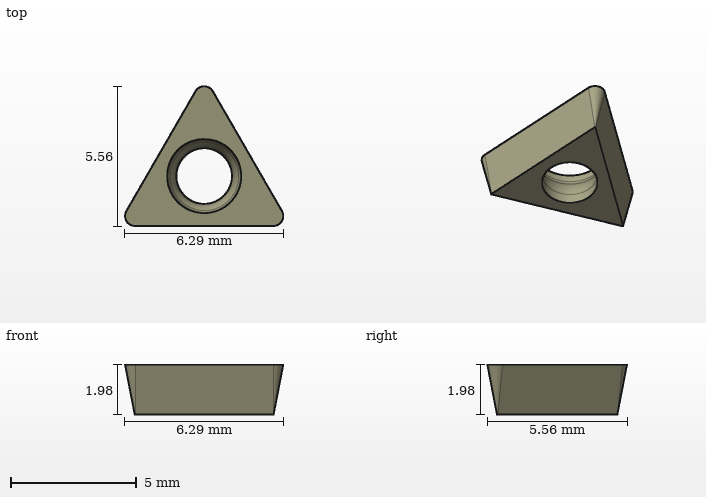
import cadquery as cq
import math

inscribed_diameter = 3.97
thickness = 1.98
corner_radius = 0.4
clearance_angle = 11.0
tip_angles = (90, 210, 330)
corner_half_arc = 60

hole_diameter = 2.2
seat_depth = 1.49
seat_radius = 1.62
seat_angle = 33.0
blend_radius = 0.5
wall_angle = 5.0


def rounded_triangle(inset, height):
    """Rounded triangle at a height, its sides moved inward by inset, one tip toward +Y."""
    radius = corner_radius - inset
    center_distance = 2 * (inscribed_diameter / 2 - corner_radius)

    def corner_point(tip_angle, arc_angle):
        tip = math.radians(tip_angle)
        on_arc = math.radians(tip_angle + arc_angle)
        return (
            center_distance * math.cos(tip) + radius * math.cos(on_arc),
            center_distance * math.sin(tip) + radius * math.sin(on_arc),
        )

    last_corner_end = corner_point(tip_angles[-1], corner_half_arc)
    outline = cq.Workplane("XY", origin=(0, 0, height)).moveTo(*last_corner_end)
    for tip_angle in tip_angles:
        corner_start = corner_point(tip_angle, -corner_half_arc)
        corner_middle = corner_point(tip_angle, 0)
        corner_end = corner_point(tip_angle, corner_half_arc)
        outline = outline.lineTo(*corner_start).threePointArc(corner_middle, corner_end)
    return outline.wire().val()


def insert_body():
    """Solid that narrows downward by the clearance angle on all sides and corners."""
    inset = thickness * math.tan(math.radians(clearance_angle))
    bottom = rounded_triangle(inset, 0)
    top = rounded_triangle(0, thickness)
    return cq.Workplane(cq.Solid.makeLoft([bottom, top], True))


def screw_hole():
    """Bore opening through a convex seat and a concave blend into a drafted wall, all tangent."""
    bore_radius = hole_diameter / 2
    seat_end = thickness - seat_depth
    steep = math.radians(wall_angle)
    shallow = math.radians(seat_angle)

    def seat_point(slope):
        return (
            bore_radius + seat_radius * (1 - math.cos(slope)),
            seat_end + seat_radius * math.sin(slope),
        )

    seat_top_radius, seat_top = seat_point(shallow)

    def blend_point(slope):
        return (
            seat_top_radius + blend_radius * (math.cos(slope) - math.cos(shallow)),
            seat_top + blend_radius * (math.sin(shallow) - math.sin(slope)),
        )

    wall_radius, wall_end = blend_point(steep)
    rim_radius = wall_radius + (thickness - wall_end) * math.tan(steep)

    return (
        cq.Workplane("XZ")
        .moveTo(0, 0)
        .lineTo(0, thickness)
        .lineTo(rim_radius, thickness)
        .lineTo(wall_radius, wall_end)
        .threePointArc(blend_point((steep + shallow) / 2), (seat_top_radius, seat_top))
        .threePointArc(seat_point(shallow / 2), (bore_radius, seat_end))
        .lineTo(bore_radius, 0)
        .close()
        .revolve(360, (0, 0, 0), (0, 1, 0))
    )


result = insert_body().cut(screw_hole())